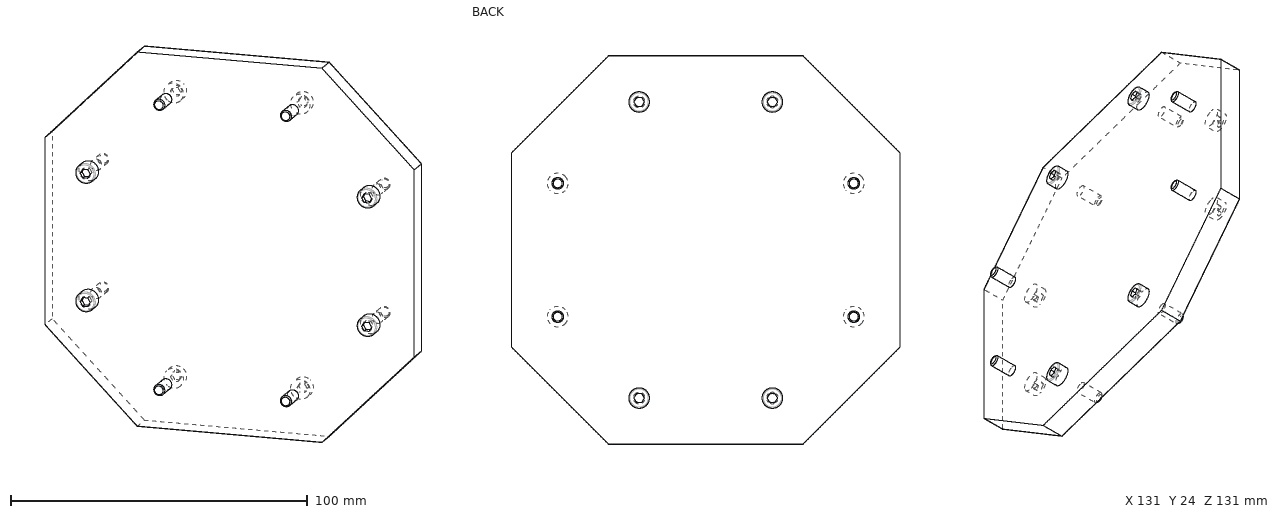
import cadquery as cq

plate_size = 131.0
corner_cut = 32.8
plate_thickness = 8.0

shank_diameter = 3.9
shank_protrusion = 8.0
shank_tip_chamfer = 0.46
head_diameter = 7.0
head_height = 3.9
head_edge_fillet = 0.4
socket_across_corners = 3.5
socket_depth = 2.0

pair_offset = 49.9
pair_spacing = 44.9

half_spacing = pair_spacing / 2
half_thickness = plate_thickness / 2


def make_plate():
    """Square plate with its four corners cut at 45 degrees."""
    blank = cq.Workplane("XY").box(plate_size, plate_thickness, plate_size)
    return blank.edges("|Y").chamfer(corner_cut)


def make_screw():
    """Screw on the Y axis, head on the -Y face and tip beyond the +Y face."""
    head = (
        cq.Workplane("XZ", origin=(0, -half_thickness, 0))
        .circle(head_diameter / 2)
        .extrude(head_height)
        .faces("<Y").edges().fillet(head_edge_fillet)
    )
    socket = (
        cq.Workplane("XZ", origin=(0, -half_thickness - head_height, 0))
        .polygon(6, socket_across_corners)
        .extrude(-socket_depth)
    )
    shank = (
        cq.Workplane("XZ", origin=(0, -half_thickness, 0))
        .circle(shank_diameter / 2)
        .extrude(-(plate_thickness + shank_protrusion))
        .faces(">Y").edges().chamfer(shank_tip_chamfer)
    )
    return head.cut(socket).union(shank)


front_screw = make_screw()
rear_screw = front_screw.rotate((0, 0, 0), (0, 0, 1), 180)

result = make_plate()
for side in (-1, 1):
    for along in (-1, 1):
        result = result.union(
            front_screw.translate((side * pair_offset, 0, along * half_spacing))
        )
        result = result.union(
            rear_screw.translate((along * half_spacing, 0, side * pair_offset))
        )